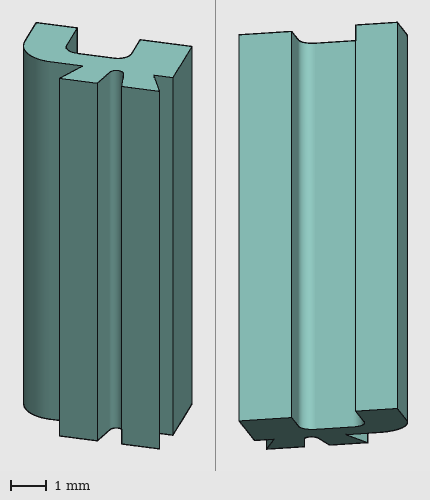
import cadquery as cq
import math

length = 11.3
width = 4.6
depth = 3.1

hook_width = 1.2
wall_width = 1.51
wall_drop = 0.21
floor_thickness = 0.7
outer_radius = 1.01
inner_radius = 0.4

foot_height = 0.9
foot_center = 3.01
foot_root_width = 2.07
foot_tip_width = 2.92
notch_mouth_width = 0.71
notch_radius = 0.2

floor_y = foot_height + floor_thickness
wall_x = width - wall_width


def make_channel():
    """U-shaped channel with a rounded outer corner and rounded slot corners."""
    channel = (
        cq.Workplane("XY")
        .moveTo(0, foot_height)
        .lineTo(width, foot_height)
        .lineTo(width, depth - wall_drop)
        .lineTo(wall_x, depth - wall_drop)
        .lineTo(wall_x, floor_y)
        .lineTo(hook_width, floor_y)
        .lineTo(hook_width, depth)
        .lineTo(0, depth)
        .close()
        .extrude(length)
    )
    mid_height = length / 2
    outer_corner = cq.selectors.NearestToPointSelector((0, foot_height, mid_height))
    channel = channel.edges(outer_corner).fillet(outer_radius)
    for corner_x in (hook_width, wall_x):
        slot_corner = cq.selectors.NearestToPointSelector((corner_x, floor_y, mid_height))
        channel = channel.edges(slot_corner).fillet(inner_radius)
    return channel


def make_foot():
    """Dovetail flaring toward -Y, centred on foot_center."""
    return (
        cq.Workplane("XY")
        .moveTo(foot_center - foot_tip_width / 2, 0)
        .lineTo(foot_center + foot_tip_width / 2, 0)
        .lineTo(foot_center + foot_root_width / 2, foot_height)
        .lineTo(foot_center - foot_root_width / 2, foot_height)
        .close()
        .extrude(length)
    )


def make_notch():
    """Tapered notch whose straight sides run tangent into a round end."""
    arc_center_y = foot_height - notch_radius
    half_mouth = notch_mouth_width / 2
    mouth_distance = math.hypot(half_mouth, arc_center_y)
    tangent_angle = math.acos(notch_radius / mouth_distance) - math.atan2(arc_center_y, half_mouth)
    tangent_x = notch_radius * math.cos(tangent_angle)
    tangent_y = arc_center_y + notch_radius * math.sin(tangent_angle)
    return (
        cq.Workplane("XY")
        .moveTo(foot_center - half_mouth, 0)
        .lineTo(foot_center + half_mouth, 0)
        .lineTo(foot_center + tangent_x, tangent_y)
        .threePointArc((foot_center, foot_height), (foot_center - tangent_x, tangent_y))
        .close()
        .extrude(length)
    )


result = make_channel().union(make_foot()).cut(make_notch())